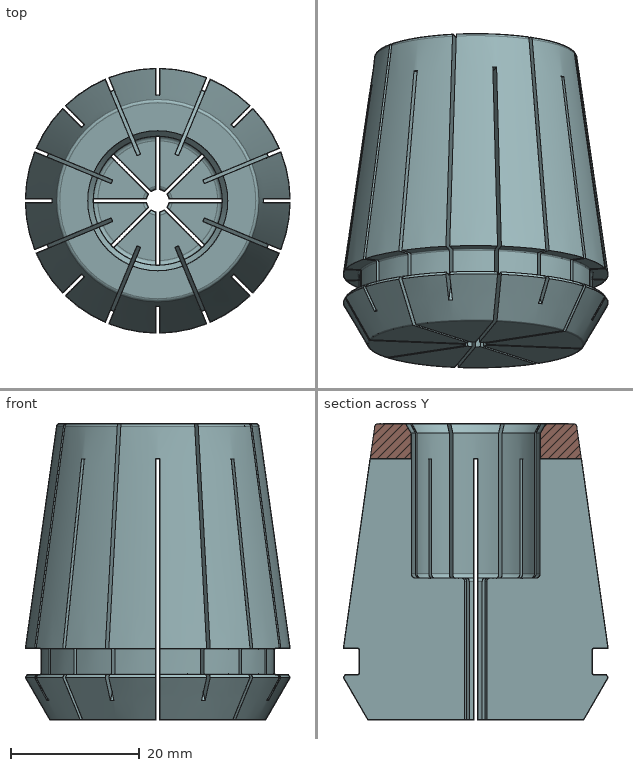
import cadquery as cq
import math

LENGTH = 46.0
MAX_RADIUS = 20.55
TAPER_ANGLE = 8.0
NOSE_ANGLE = 30.0

NOSE_HEIGHT = 6.6
FLANGE_TOP = 7.05
FLANGE_BEVEL = 0.3
GROOVE_TOP = 11.1
GROOVE_RADIUS = 18.1
GROOVE_CORNER_FILLET = 0.2
TOP_EDGE_FILLET = 0.5
NOSE_EDGE_FILLET = 0.2

TOOL_RADIUS = 1.75
TOOL_MOUTH_FILLET = 0.5
RELIEF_RADIUS = 10.0
RELIEF_FLOOR = 22.0
RELIEF_FLOOR_FILLET = 0.7
RELIEF_MOUTH_DEPTH = 1.5
RELIEF_MOUTH_ANGLE = 30.0

SLOTS_PER_END = 8
SLOT_PITCH = 360.0 / SLOTS_PER_END
SLOT_WIDTH = 0.6
NOSE_SLOT_TOP = 40.5
BACK_SLOT_BOTTOM = 3.0
BACK_SLOT_INNER_RADIUS = 7.7
CUT_MARGIN = 2.0


def nose_radius(z):
    """Radius of the nose cone at height z."""
    return MAX_RADIUS - (NOSE_HEIGHT - z) * math.tan(math.radians(NOSE_ANGLE))


def make_body():
    """Solid of revolution with both cones and the extraction groove."""
    back_radius = MAX_RADIUS - (LENGTH - GROOVE_TOP) * math.tan(math.radians(TAPER_ANGLE))
    profile = [
        (0, 0),
        (nose_radius(0), 0),
        (MAX_RADIUS, NOSE_HEIGHT),
        (MAX_RADIUS - FLANGE_BEVEL, FLANGE_TOP),
        (GROOVE_RADIUS, FLANGE_TOP),
        (GROOVE_RADIUS, GROOVE_TOP),
        (MAX_RADIUS, GROOVE_TOP),
        (back_radius, LENGTH),
        (0, LENGTH),
    ]
    body = cq.Workplane("XZ").polyline(profile).close().revolve(360, (0, 0, 0), (0, 1, 0))
    body = body.faces(">Z").edges().fillet(TOP_EDGE_FILLET)
    body = body.faces("<Z").edges().fillet(NOSE_EDGE_FILLET)
    return body.faces("%CYLINDER").edges("%CIRCLE").fillet(GROOVE_CORNER_FILLET)


def make_bore():
    """Tool bore with a rounded mouth, opening into a wide relief bore with a rounded floor."""
    mouth_radius = RELIEF_RADIUS + RELIEF_MOUTH_DEPTH * math.tan(math.radians(RELIEF_MOUTH_ANGLE))
    return (
        cq.Workplane("XZ")
        .lineTo(TOOL_RADIUS, 0)
        .lineTo(TOOL_RADIUS, RELIEF_FLOOR - TOOL_MOUTH_FILLET)
        .tangentArcPoint((TOOL_RADIUS + TOOL_MOUTH_FILLET, RELIEF_FLOOR), relative=False)
        .lineTo(RELIEF_RADIUS - RELIEF_FLOOR_FILLET, RELIEF_FLOOR)
        .tangentArcPoint((RELIEF_RADIUS, RELIEF_FLOOR + RELIEF_FLOOR_FILLET), relative=False)
        .lineTo(RELIEF_RADIUS, LENGTH - RELIEF_MOUTH_DEPTH)
        .lineTo(mouth_radius, LENGTH)
        .lineTo(0, LENGTH)
        .close()
        .revolve(360, (0, 0, 0), (0, 1, 0))
    )


def slot_blade(outline):
    """Thin plate, centred on the XZ plane, with the given (radius, height) outline."""
    return cq.Workplane("XZ").polyline(outline).close().extrude(SLOT_WIDTH / 2, both=True)


def nose_slot():
    """Slot open at the nose, running from the axis out through the wall."""
    reach = MAX_RADIUS + CUT_MARGIN
    return slot_blade([
        (0, -CUT_MARGIN),
        (reach, -CUT_MARGIN),
        (reach, NOSE_SLOT_TOP),
        (0, NOSE_SLOT_TOP),
    ])


def back_slot():
    """Slot open at the back, with an end that slopes down from the relief floor to the nose cone."""
    reach = MAX_RADIUS + CUT_MARGIN
    run_out_radius = nose_radius(BACK_SLOT_BOTTOM)
    return slot_blade([
        (BACK_SLOT_INNER_RADIUS, RELIEF_FLOOR),
        (run_out_radius, BACK_SLOT_BOTTOM),
        (reach, BACK_SLOT_BOTTOM),
        (reach, LENGTH + CUT_MARGIN),
        (BACK_SLOT_INNER_RADIUS, LENGTH + CUT_MARGIN),
    ])


def cut_slots(part, blade, first_angle):
    """Cut evenly spaced copies of a blade, the first one at first_angle degrees from +X."""
    for index in range(SLOTS_PER_END):
        angle = first_angle + index * SLOT_PITCH
        part = part.cut(blade.rotate((0, 0, 0), (0, 0, 1), angle))
    return part


result = make_body().cut(make_bore())
result = cut_slots(result, nose_slot(), 0)
result = cut_slots(result, back_slot(), SLOT_PITCH / 2)